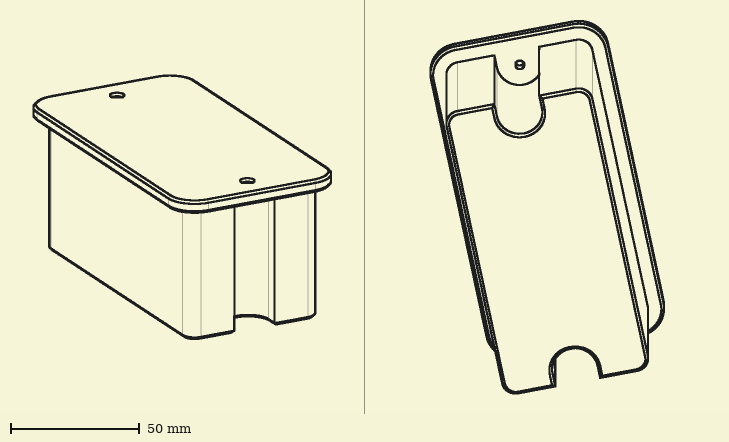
import cadquery as cq

total_length = 132.01
total_width = 70.16
total_height = 59.77
lid_overhang = 6.2

lid_thickness = 5.15

box_length = total_length - 2 * lid_overhang
box_width = total_width - 2 * lid_overhang
box_height = total_height - lid_thickness
box_corner_radius = 5.4

lid_corner_radius = box_corner_radius + lid_overhang

edge_chamfer = 1.07

groove_radius = 8.9
groove_spacing = 109.0

screw_spacing = 107.8
screw_hole_diameter = 3.5
countersink_diameter = 5.6
countersink_angle = 90

SIDES = (-1, 1)


def rounded_block(length, width, height, corner_radius):
    """Upright block centred on Z, with its base on Z = 0 and rounded upright edges."""
    block = cq.Workplane("XY").box(length, width, height, centered=(True, True, False))
    return block.edges("|Z").fillet(corner_radius)


def end_groove(side):
    """Cutter for one groove: a half round with straight walls, open through the box end."""
    centre_x = side * groove_spacing / 2
    end_x = side * box_length / 2
    return (
        cq.Workplane("XY")
        .moveTo(end_x, groove_radius)
        .lineTo(centre_x, groove_radius)
        .threePointArc((centre_x - side * groove_radius, 0), (centre_x, -groove_radius))
        .lineTo(end_x, -groove_radius)
        .close()
        .extrude(box_height)
    )


def make_box():
    """Box with a full-height groove in each end and a chamfer all round its bottom."""
    body = rounded_block(box_length, box_width, box_height, box_corner_radius)
    for side in SIDES:
        body = body.cut(end_groove(side))
    return body.faces("<Z").edges().chamfer(edge_chamfer)


def make_lid():
    """Lid with chamfered rims and two countersunk screw holes, placed on top of the box."""
    plate = rounded_block(total_length, total_width, lid_thickness, lid_corner_radius)
    plate = plate.faces("<Z or >Z").edges().chamfer(edge_chamfer)
    plate = (
        plate.faces(">Z")
        .workplane(origin=(0, 0, lid_thickness))
        .pushPoints([(side * screw_spacing / 2, 0) for side in SIDES])
        .cskHole(screw_hole_diameter, countersink_diameter, countersink_angle)
    )
    return plate.translate((0, 0, box_height))


box = make_box()
lid = make_lid()

result = cq.Compound.makeCompound([box.val(), lid.val()])